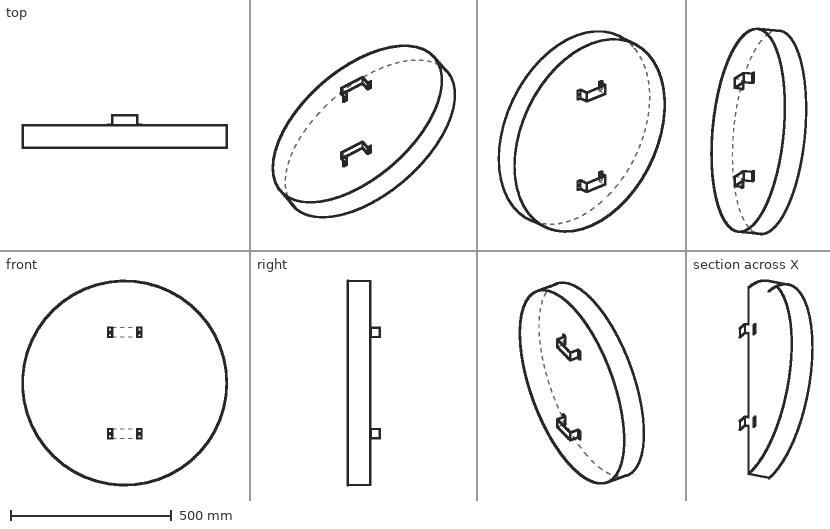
import cadquery as cq
import math

wall_outer_diameter = 635.2
sheet_thickness = 1.0
rim_bend_radius = 1.0
tray_depth = 71.5
plate_thickness = 1.5

bracket_width = 80.0
bracket_height = 30.0
bracket_depth = 30.0
bracket_thickness = 1.5
foot_length = 12.0
screw_hole_diameter = 5.5
bracket_spacing = 315.0

wall_outer_radius = wall_outer_diameter / 2
wall_inner_radius = wall_outer_radius - sheet_thickness
rim_outer_radius = wall_outer_radius + rim_bend_radius
rim_depth = rim_bend_radius + sheet_thickness


def make_ring():
    """Cylindrical wall whose front edge is bent outward through a quarter turn."""

    def bend_middle(radius):
        offset = radius * math.sin(math.pi / 4)
        return (rim_outer_radius - offset, rim_depth - offset)

    return (
        cq.Workplane("XY")
        .moveTo(wall_inner_radius, tray_depth)
        .lineTo(wall_inner_radius, rim_depth)
        .threePointArc(bend_middle(rim_depth), (rim_outer_radius, 0))
        .lineTo(rim_outer_radius, sheet_thickness)
        .threePointArc(bend_middle(rim_bend_radius), (wall_outer_radius, rim_depth))
        .lineTo(wall_outer_radius, tray_depth)
        .close()
        .revolve(360, (0, 0, 0), (0, 1, 0))
    )


def make_plate():
    """Flat disc fitted inside the wall, flush with its back end."""
    return (
        cq.Workplane("XZ", origin=(0, tray_depth, 0))
        .circle(wall_inner_radius)
        .extrude(plate_thickness)
    )


def make_bracket(centre_z):
    """Bent strip with a raised bridge and two outward feet, one screw hole per foot."""
    half_width = bracket_width / 2
    inner_half_width = half_width - bracket_thickness
    foot_end = half_width + foot_length
    foot_centre = half_width + foot_length / 2

    strip = (
        cq.Workplane("XY", origin=(0, tray_depth, centre_z))
        .moveTo(-foot_end, 0)
        .lineTo(-inner_half_width, 0)
        .lineTo(-inner_half_width, bracket_depth - bracket_thickness)
        .lineTo(inner_half_width, bracket_depth - bracket_thickness)
        .lineTo(inner_half_width, 0)
        .lineTo(foot_end, 0)
        .lineTo(foot_end, bracket_thickness)
        .lineTo(half_width, bracket_thickness)
        .lineTo(half_width, bracket_depth)
        .lineTo(-half_width, bracket_depth)
        .lineTo(-half_width, bracket_thickness)
        .lineTo(-foot_end, bracket_thickness)
        .close()
        .extrude(bracket_height / 2, both=True)
    )
    screw_holes = (
        cq.Workplane("XZ", origin=(0, tray_depth, centre_z))
        .pushPoints([(-foot_centre, 0), (foot_centre, 0)])
        .circle(screw_hole_diameter / 2)
        .extrude(-bracket_thickness)
    )
    return strip.cut(screw_holes)


ring = make_ring()
plate = make_plate()
brackets = [make_bracket(side * bracket_spacing / 2) for side in (-1, 1)]

result = cq.Compound.makeCompound(
    [ring.val(), plate.val(), *[bracket.val() for bracket in brackets]]
)